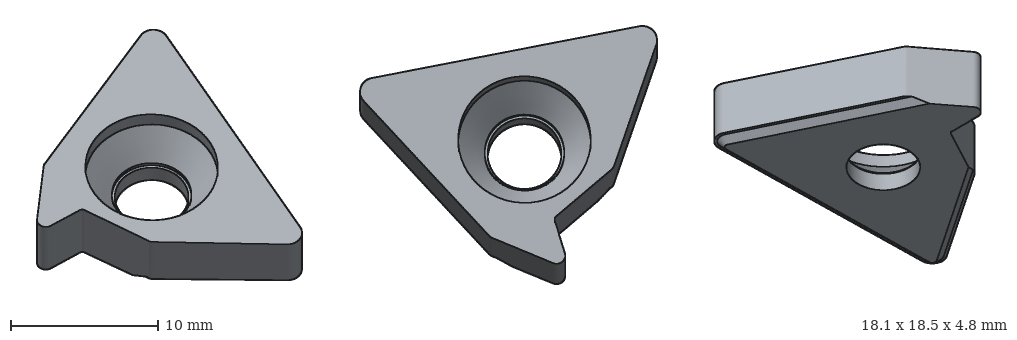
import cadquery as cq
import math

inscribed_radius = 6.35
nose_radius = 1.0
thickness = 4.8
top_slope = 0.95

tooth_axis_x = -3.85
tooth_tip_y = -8.184
tooth_tip_radius = 0.6
tooth_half_angle = 25.0
relief_y = -5.5
shoulder_radius = 0.6
relief_outer_radius = 0.6
tooth_root_radius = 0.25

step_width = 0.2
bevel_width = 0.5
bevel_height = 0.5

head_radius = 4.5
seat_radius = 2.7
bore_radius = 2.5
seat_top_z = 3.6
seat_bottom_z = 1.65
ledge_z = 1.4

CORNER_ANGLES = (0, 120, 240)
NOSE_HALF_ANGLE = 30
FULL_TURN = 360


def triangle_corners(side_distance):
    """Corners of an equilateral triangle whose sides lie side_distance from the origin."""
    reach = 2 * side_distance
    corners = []
    for angle in CORNER_ANGLES:
        turn = math.radians(angle)
        corners.append((reach * math.cos(turn), reach * math.sin(turn)))
    return corners


def round_corner(body, corner, radius):
    """Round the vertical edge that stands at the given XY corner."""
    edge = cq.selectors.NearestToPointSelector((corner[0], corner[1], thickness / 2))
    return body.edges("|Z").edges(edge).fillet(radius)


def make_blank():
    """Full-height prism of the triangle with one corner shaped into the tooth."""
    flank_tan = math.tan(math.radians(tooth_half_angle))
    flank_sin = math.sin(math.radians(tooth_half_angle))
    apex_y = tooth_tip_y + tooth_tip_radius - tooth_tip_radius / flank_sin

    right_nose, upper_nose, _ = triangle_corners(inscribed_radius)
    side_tan = math.tan(math.radians(NOSE_HALF_ANGLE))
    relief_outer = (right_nose[0] + relief_y / side_tan, relief_y)
    tooth_root = (tooth_axis_x + (relief_y - apex_y) * flank_tan, relief_y)
    tooth_apex = (tooth_axis_x, apex_y)
    shoulder = (-inscribed_radius, apex_y + (tooth_axis_x + inscribed_radius) / flank_tan)

    rounding = (
        (upper_nose, nose_radius),
        (right_nose, nose_radius),
        (relief_outer, relief_outer_radius),
        (tooth_root, tooth_root_radius),
        (tooth_apex, tooth_tip_radius),
        (shoulder, shoulder_radius),
    )
    outline = [corner for corner, _ in rounding]
    body = cq.Workplane("XY").polyline(outline).close().extrude(thickness)
    for corner, radius in rounding:
        body = round_corner(body, corner, radius)
    return body


def rounded_triangle(inset, z):
    """Profile of the rounded body triangle, moved inward by inset, at height z."""
    corners = triangle_corners(inscribed_radius - inset)
    outline = cq.Sketch().polygon(corners + corners[:1])
    outline = outline.vertices().fillet(nose_radius - inset)
    return cq.Workplane("XY", origin=(0, 0, z)).placeSketch(outline)


def make_envelope():
    """Rounded triangle with a stepped, bevelled bottom that bounds the insert."""
    upper = rounded_triangle(0, bevel_height).extrude(thickness)
    bevel_angle = math.degrees(math.atan2(bevel_width, bevel_height))
    lower = rounded_triangle(step_width, bevel_height).extrude(-bevel_height, taper=bevel_angle)
    return upper.union(lower)


def make_top_trim():
    """Wedge of material above the sloping top face."""
    length = 3 * inscribed_radius
    drop = length * math.tan(math.radians(top_slope))
    far_x = length - inscribed_radius
    wedge = (
        cq.Workplane("XZ")
        .moveTo(-inscribed_radius, thickness)
        .lineTo(far_x, thickness)
        .lineTo(far_x, thickness - drop)
        .close()
    )
    return wedge.extrude(2 * length, both=True)


def make_screw_hole():
    """Head recess, conical seat, small ledge and through bore, as one revolved cutter."""
    profile = (
        cq.Workplane("XZ")
        .lineTo(bore_radius, 0)
        .lineTo(bore_radius, ledge_z)
        .lineTo(seat_radius, ledge_z)
        .lineTo(seat_radius, seat_bottom_z)
        .lineTo(head_radius, seat_top_z)
        .lineTo(head_radius, thickness)
        .lineTo(0, thickness)
        .close()
    )
    return profile.revolve(FULL_TURN, (0, 0, 0), (0, 1, 0))


result = make_blank().intersect(make_envelope())
result = result.cut(make_top_trim())
result = result.cut(make_screw_hole())